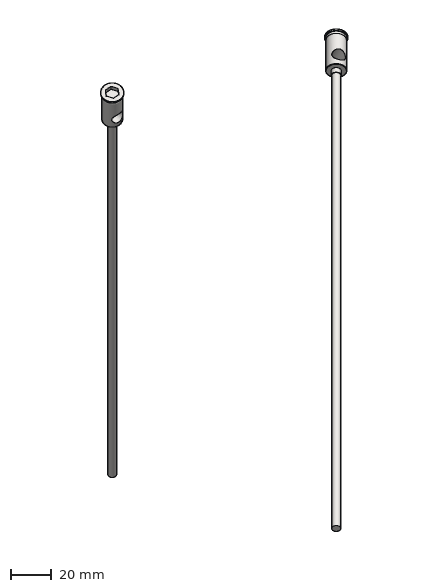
import cadquery as cq
import math

total_length = 322.5
head_length = 22.5
neck_length = 3.0
rim_height = 1.0
groove_width = 2.5

rim_diameter = 11.5
head_diameter = 10.5
neck_diameter = 5.0
rod_diameter = 4.5

groove_depth = 0.25
head_bottom_chamfer = 0.25
socket_across_flats = 6.35
socket_depth = 2.5
cross_hole_diameter = 7.0
cross_hole_drop = 16.0

head_bottom = total_length - head_length
neck_bottom = head_bottom - neck_length
rim_bottom = total_length - rim_height
groove_middle = rim_bottom - groove_width / 2
groove_bottom = rim_bottom - groove_width
rim_radius = rim_diameter / 2
head_radius = head_diameter / 2
neck_radius = neck_diameter / 2
rod_radius = rod_diameter / 2


def make_turned_body():
    """Rod, neck and head with its rim and V-groove, turned about Z."""
    profile = [
        (0, 0),
        (rod_radius, 0),
        (rod_radius, neck_bottom),
        (neck_radius, neck_bottom),
        (neck_radius, head_bottom),
        (head_radius - head_bottom_chamfer, head_bottom),
        (head_radius, head_bottom + head_bottom_chamfer),
        (head_radius, groove_bottom),
        (head_radius - groove_depth, groove_middle),
        (head_radius, rim_bottom),
        (rim_radius, rim_bottom),
        (rim_radius, total_length),
        (0, total_length),
    ]
    axis_start = (0, 0, 0)
    axis_end = (0, 1, 0)
    return cq.Workplane("XZ").polyline(profile).close().revolve(360, axis_start, axis_end)


def make_cross_hole():
    """Hole along X through the full width of the head."""
    hole = cq.Workplane("YZ").center(0, total_length - cross_hole_drop)
    return hole.circle(cross_hole_diameter / 2).extrude(rim_diameter, both=True)


def make_hex_socket():
    """Blind hexagon socket in the top face, with two flats facing +X and -X."""
    across_corners = socket_across_flats / math.cos(math.pi / 6)
    flats_to_x = 30
    floor = cq.Workplane("XY").workplane(offset=total_length - socket_depth)
    socket = floor.polygon(6, across_corners).extrude(socket_depth)
    return socket.rotate((0, 0, 0), (0, 0, 1), flats_to_x)


result = make_turned_body().cut(make_cross_hole()).cut(make_hex_socket())